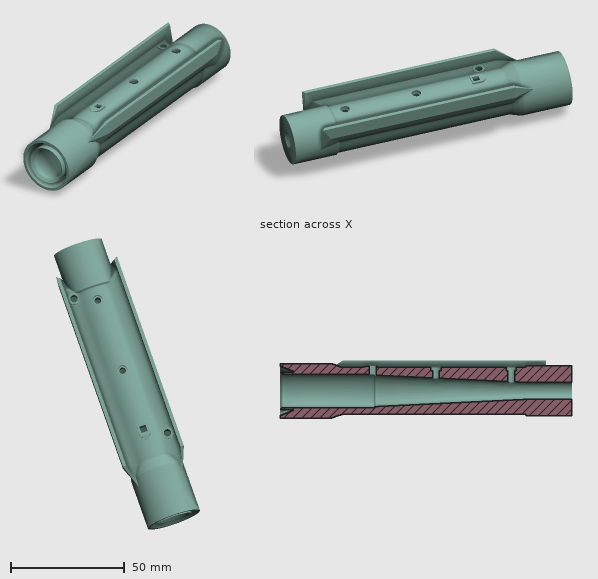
import cadquery as cq
import math

TOTAL_LENGTH = 128.24
TOTAL_WIDTH = 28.3
TOTAL_HEIGHT = 25.4

SOCKET_RADIUS = 12.12
SOCKET_END = 22.4
BODY_RADIUS = 10.4
BODY_START = 27.5
BODY_END = 107.6
SPIGOT_RADIUS = 11.1
SPIGOT_START = BODY_END + (SPIGOT_RADIUS - BODY_RADIUS)

MOUTH_RADIUS = 10.85
GROOVE_DEPTH = 6.0
INNER_TUBE_RADIUS = 8.4
BORE_RADIUS = 7.3
BORE_CHAMFER = INNER_TUBE_RADIUS - BORE_RADIUS
BORE_END = 41.4
TAPER_END_RADIUS = 6.8
OUTLET_RADIUS = 3.6
OUTLET_START = SPIGOT_START
TAPER_END = BORE_END + (BORE_RADIUS - TAPER_END_RADIUS)

FIN_TOP = TOTAL_HEIGHT - SOCKET_RADIUS
FIN_OUTER_X = TOTAL_WIDTH / 2
FIN_INNER_X = 12.6
FIN_KNEE_Z = 7.42
FIN_FOOT_Z = 1.13
FIN_FOOT_X = math.sqrt(BODY_RADIUS**2 - FIN_FOOT_Z**2)
VALLEY_TANGENT_X = 5.75
VALLEY_RADIUS = 8.6

FRONT_APEX = (10.2, 17.6, 6.6)
FIN_END = 116.75
BACK_APEX = (SPIGOT_RADIUS, FIN_END, -0.1)
BACK_SLOPE_X = 0.7
BACK_SLOPE_Z = 0.65

VENT_POSITIONS = (68.5, 101.6)
VENT_RADIUS = 1.4
VENT_COUNTERBORE_RADIUS = 2.1
VENT_COUNTERBORE_DEPTH = 1.5

BOSS_POSITIONS = ((-9.55, 106.0), (9.55, 36.1))
BOSS_RADIUS = 2.65
BOSS_TOP = 7.8
BOSS_FOOT = 6.0
BOSS_HOLE_RADIUS = 1.6
BOSS_HOLE_DEPTH = 4.0

PORT_CENTER_Y = 40.45
PORT_SIZE = 5.0
PORT_TOP = BODY_RADIUS + 0.5
PORT_FOOT = 9.0
PORT_HOLE_SIZE = 2.9
PORT_HOLE_Y = 40.7
RAMP_LENGTH = 2.4


def revolve_about_y(points):
    """Solid of revolution from (radius, y) points."""
    profile = cq.Workplane("YZ").polyline([(y, radius) for radius, y in points]).close()
    return profile.revolve(360, (0, 0, 0), (1, 0, 0))


def tube_outside():
    return revolve_about_y([
        (0, 0),
        (SOCKET_RADIUS, 0),
        (SOCKET_RADIUS, SOCKET_END),
        (BODY_RADIUS, BODY_START),
        (BODY_RADIUS, BODY_END),
        (SPIGOT_RADIUS, SPIGOT_START),
        (SPIGOT_RADIUS, TOTAL_LENGTH),
        (0, TOTAL_LENGTH),
    ])


def mouth_groove():
    """Groove round the inner tube; its outer wall tapers inward with depth."""
    return revolve_about_y([
        (INNER_TUBE_RADIUS, 0),
        (MOUTH_RADIUS, 0),
        (INNER_TUBE_RADIUS, GROOVE_DEPTH),
    ])


def bore():
    return revolve_about_y([
        (0, 0),
        (INNER_TUBE_RADIUS, 0),
        (BORE_RADIUS, BORE_CHAMFER),
        (BORE_RADIUS, BORE_END),
        (TAPER_END_RADIUS, TAPER_END),
        (OUTLET_RADIUS, OUTLET_START),
        (OUTLET_RADIUS, TOTAL_LENGTH),
        (0, TOTAL_LENGTH),
    ])


def fin_section(y):
    """Right-hand fin section at y: flat outer sides and a valley arc tangent to the tube."""
    tangent_z = math.sqrt(BODY_RADIUS**2 - VALLEY_TANGENT_X**2)
    center_scale = (BODY_RADIUS + VALLEY_RADIUS) / BODY_RADIUS
    center_x = VALLEY_TANGENT_X * center_scale
    center_z = tangent_z * center_scale
    valley_end_z = center_z - math.sqrt(VALLEY_RADIUS**2 - (FIN_INNER_X - center_x) ** 2)
    middle_x = (VALLEY_TANGENT_X + FIN_INNER_X) / 2
    middle_z = center_z - math.sqrt(VALLEY_RADIUS**2 - (middle_x - center_x) ** 2)
    return (
        cq.Workplane("XZ", origin=(0, y, 0))
        .moveTo(FIN_FOOT_X, FIN_FOOT_Z)
        .lineTo(FIN_OUTER_X, FIN_KNEE_Z)
        .lineTo(FIN_OUTER_X, FIN_TOP)
        .lineTo(FIN_INNER_X, FIN_TOP)
        .lineTo(FIN_INNER_X, valley_end_z)
        .threePointArc((middle_x, middle_z), (VALLEY_TANGENT_X, tangent_z))
        .close()
    )


def pointed_end(base_wire, apex):
    """Solid whose sides run straight from a flat base outline to one point."""
    tip = cq.Vertex.makeVertex(*apex)
    return cq.Workplane(cq.occ_impl.shapes.loft(base_wire, tip, cap=True, ruled=True))


def right_fin():
    prism = fin_section(FIN_END).extrude(FIN_END - BODY_START)

    corner = (FIN_OUTER_X, FIN_END, FIN_TOP)
    normal = (-BACK_SLOPE_X, 1, -BACK_SLOPE_Z)
    cut_plane = cq.Plane(origin=corner, xDir=(1, BACK_SLOPE_X, 0), normal=normal)
    cutter_size = 2 * TOTAL_WIDTH
    cutter = cq.Workplane(cut_plane).rect(cutter_size, cutter_size).extrude(cutter_size)
    straight = prism.cut(cutter)

    front = pointed_end(straight.faces("<Y").val().outerWire(), FRONT_APEX)
    back = pointed_end(straight.faces(">Y").val().outerWire(), BACK_APEX)
    return straight.union(front).union(back)


def cylinder_up(x, y, z, radius, height):
    return cq.Workplane("XY", origin=(x, y, z)).circle(radius).extrude(height)


def round_boss(x, y):
    return cylinder_up(x, y, BOSS_FOOT, BOSS_RADIUS, BOSS_TOP - BOSS_FOOT)


def boss_hole(x, y):
    return cylinder_up(x, y, BOSS_TOP - BOSS_HOLE_DEPTH, BOSS_HOLE_RADIUS, BOSS_HOLE_DEPTH)


def vent(y):
    hole = cylinder_up(0, y, 0, VENT_RADIUS, BODY_RADIUS)
    floor_z = BODY_RADIUS - VENT_COUNTERBORE_DEPTH
    return hole.union(cylinder_up(0, y, floor_z, VENT_COUNTERBORE_RADIUS, VENT_COUNTERBORE_DEPTH))


def port_boss():
    """Square boss with a triangular ramp that falls toward the socket."""
    front_y = PORT_CENTER_Y - PORT_SIZE / 2
    height = PORT_TOP - PORT_FOOT
    block = (
        cq.Workplane("XY", origin=(0, PORT_CENTER_Y, PORT_FOOT))
        .rect(PORT_SIZE, PORT_SIZE)
        .extrude(height)
    )
    wedge = (
        cq.Workplane("XY", origin=(0, 0, PORT_FOOT))
        .polyline([(-PORT_SIZE / 2, front_y), (PORT_SIZE / 2, front_y), (0, front_y - RAMP_LENGTH)])
        .close()
        .extrude(height)
    )
    ramp_side = (
        cq.Workplane("YZ")
        .polyline([
            (front_y, PORT_FOOT),
            (front_y, PORT_TOP),
            (front_y - RAMP_LENGTH, BODY_RADIUS),
            (front_y - RAMP_LENGTH, PORT_FOOT),
        ])
        .close()
        .extrude(PORT_SIZE / 2, both=True)
    )
    return block.union(wedge.intersect(ramp_side))


def port_hole():
    return (
        cq.Workplane("XY", origin=(0, PORT_HOLE_Y, 0))
        .rect(PORT_HOLE_SIZE, PORT_HOLE_SIZE)
        .extrude(PORT_TOP)
    )


fin = right_fin()
body = tube_outside().union(fin).union(fin.mirror("YZ")).union(port_boss())
for boss_x, boss_y in BOSS_POSITIONS:
    body = body.union(round_boss(boss_x, boss_y)).cut(boss_hole(boss_x, boss_y))
for vent_y in VENT_POSITIONS:
    body = body.cut(vent(vent_y))
result = body.cut(port_hole()).cut(mouth_groove()).cut(bore())